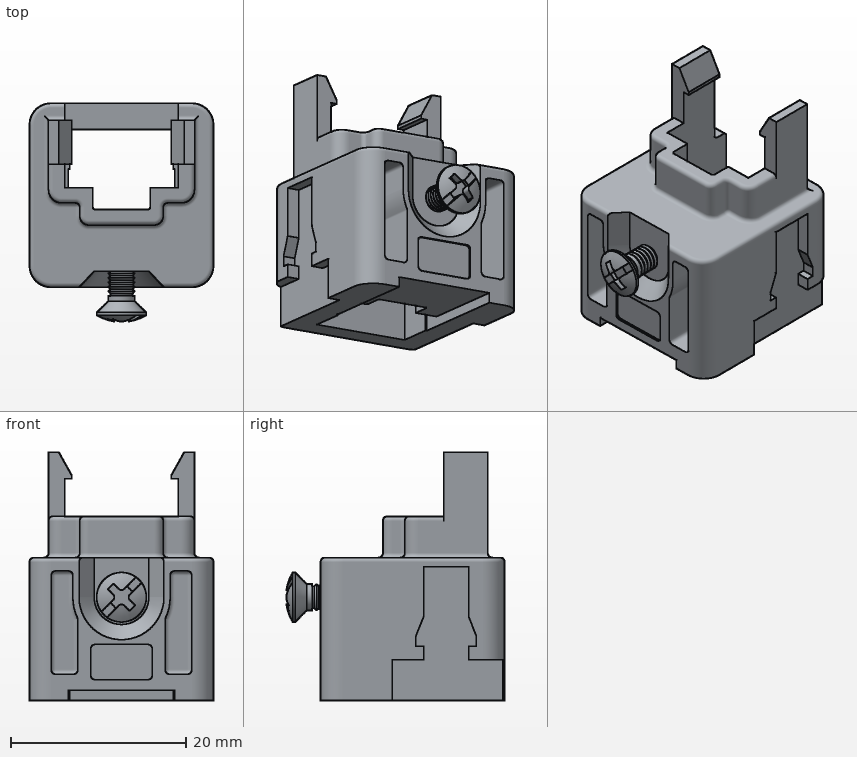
import cadquery as cq
import math


body_side = 21.0
body_height = 16.3
body_corner = 2.5
edge_round = 0.5
half_side = body_side / 2
front_y = -half_side
rear_y = half_side

select_margin = 0.03

collar_top = 21.0
collar_half_width = 8.32
collar_rear_y = 8.57
collar_shoulder_y = -0.88
collar_corner = 1.5
nose_half_width = 4.75
nose_front_y = -3.4
nose_corner = 1.02
nose_inner_corner = 0.5

arm_inner_x = 6.45
arm_front_y = 3.55
arm_top = 28.3
arm_tip_x = 7.13
hook_x = 5.65
hook_top = 25.67
hook_bottom = 25.27

cavity_half_width = arm_inner_x
cavity_front_y = 0.88
nose_cavity_half_width = 3.25
nose_cavity_front_y = -1.6
nose_cavity_corner = 0.25
frame_height = 4.67
frame_rear_y = 7.47
frame_half_width = 5.9
frame_wide_half_width = 6.05
frame_step_y = 2.97
bottom_notch_height = 1.15

clip_depth = 1.5
clip_center_y = 3.82
clip_half_width = 2.58
clip_top = 15.23
clip_taper_top = 9.55
clip_wide_half_width = 3.45
clip_wide_top = 7.33
clip_wide_bottom = 6.17
base_pocket_front_y = -2.32

screw_z = 11.77
seat_radius = 4.85
seat_floor_radius = 3.1
seat_depth = 1.85
seat_floor_y = front_y + seat_depth

window_outer_x = 8.0
window_inner_x = 4.98
window_top = 14.77
window_bottom = 3.0
window_depth = 5.65
window_boss_radius = seat_radius + 0.7

label_width = 7.02
label_height = 4.02
label_center_z = 4.4
label_corner = 0.5
label_depth = 0.25

thread_root_radius = 1.27
thread_crest_radius = 1.5
thread_pitch = 0.5
thread_turns = 5
screw_embed = 0.57
shank_start_y = -11.45
shank_radius = 1.53
cone_start_y = -12.08
head_radius = 2.83
head_protrusion = 3.95
rim_start_y = -13.35
rim_end_y = -13.67
head_tip_y = front_y - head_protrusion
drive_angle = -45.0
slot_width = 0.9
slot_floor_y = rim_end_y
cross_arm_length = 1.75
cross_short_arm_length = 1.33
cross_corner = 0.42
cross_floor_y = -13.15


def span_box(x_range, y_range, z_range):
    """Box between the given pairs of limits."""
    sizes = [high - low for low, high in (x_range, y_range, z_range)]
    return (
        cq.Workplane("XY")
        .box(*sizes, centered=False)
        .translate((x_range[0], y_range[0], z_range[0]))
    )


def centered_box(half_width, y_range, z_range):
    """Box centred on X = 0."""
    return span_box((-half_width, half_width), y_range, z_range)


def with_mirror(shape):
    """The shape joined with its mirror image across X = 0."""
    return shape.union(shape.mirror("YZ"))


def make_body():
    return (
        cq.Workplane("XY")
        .rect(body_side, body_side)
        .extrude(body_height)
        .edges("|Z")
        .fillet(body_corner)
        .faces(">Z")
        .edges()
        .fillet(edge_round)
    )


def make_collar():
    """Solid stepped collar with rounded upright corners."""
    wide = centered_box(
        collar_half_width, (collar_shoulder_y, collar_rear_y), (body_height, collar_top)
    )
    nose = centered_box(
        nose_half_width, (nose_front_y, collar_shoulder_y), (body_height, collar_top)
    )
    collar = wide.union(nose)
    corners = [
        (nose_half_width, nose_front_y, nose_corner),
        (nose_half_width, collar_shoulder_y, nose_inner_corner),
        (collar_half_width, collar_shoulder_y, collar_corner),
    ]
    for half_width, y, radius in corners:
        pair = cq.selectors.BoxSelector(
            (-half_width - select_margin, y - select_margin, body_height),
            (half_width + select_margin, y + select_margin, collar_top),
        )
        collar = collar.edges("|Z").edges(pair).fillet(radius)
    return collar


def make_arm():
    """Clip arm on the +X side with its hook pointing inward."""
    return (
        cq.Workplane("XZ", origin=(0, arm_front_y, 0))
        .moveTo(collar_half_width, body_height)
        .lineTo(collar_half_width, arm_top)
        .lineTo(arm_tip_x, arm_top)
        .lineTo(hook_x, hook_top)
        .lineTo(hook_x, hook_bottom)
        .lineTo(arm_inner_x, hook_bottom)
        .lineTo(arm_inner_x, body_height)
        .close()
        .extrude(arm_front_y - collar_rear_y)
    )


def make_cavity():
    above_frame = (frame_height, collar_top)
    cavity = centered_box(cavity_half_width, (cavity_front_y, rear_y), above_frame)
    nose = centered_box(
        nose_cavity_half_width, (nose_cavity_front_y, cavity_front_y), (0, collar_top)
    )
    nose = nose.edges("|Z and <Y").fillet(nose_cavity_corner)
    frame_rear = centered_box(frame_half_width, (frame_step_y, frame_rear_y), (0, frame_height))
    frame_front = centered_box(
        frame_wide_half_width, (cavity_front_y, frame_step_y), (0, frame_height)
    )
    notch = centered_box(
        frame_wide_half_width, (front_y, cavity_front_y), (0, bottom_notch_height)
    )
    return cavity.union(nose).union(frame_rear).union(frame_front).union(notch)


def make_clip_pocket():
    """Arrow-shaped clip pocket above an open base pocket, in the -X side."""
    half_outline = [
        (clip_half_width, frame_height),
        (clip_half_width, clip_wide_bottom),
        (clip_wide_half_width, clip_wide_bottom),
        (clip_wide_half_width, clip_wide_top),
        (clip_half_width, clip_taper_top),
        (clip_half_width, clip_top),
    ]
    outline = half_outline + [(-y, z) for y, z in reversed(half_outline)]
    clip = (
        cq.Workplane("YZ", origin=(-half_side, clip_center_y, 0))
        .polyline(outline)
        .close()
        .extrude(clip_depth)
    )
    base = span_box(
        (-half_side, -half_side + clip_depth), (base_pocket_front_y, rear_y), (0, frame_height)
    )
    return clip.union(base)


def make_window():
    """Front pocket on the +X side, bulged inward to clear the screw seat."""
    arc_drop = math.sqrt(window_boss_radius**2 - window_inner_x**2)
    mid_angle = math.atan2(arc_drop, window_inner_x) / 2
    arc_middle = (
        window_boss_radius * math.cos(mid_angle),
        screw_z - window_boss_radius * math.sin(mid_angle),
    )
    return (
        cq.Workplane("XZ", origin=(0, front_y, 0))
        .moveTo(window_outer_x, window_bottom)
        .lineTo(window_outer_x, window_top)
        .lineTo(window_boss_radius, window_top)
        .lineTo(window_boss_radius, screw_z)
        .threePointArc(arc_middle, (window_inner_x, screw_z - arc_drop))
        .lineTo(window_inner_x, window_bottom)
        .close()
        .extrude(-window_depth)
        .edges("|Y or >Y")
        .fillet(edge_round)
    )


def make_screw_seat():
    """Tapered U-shaped seat, open at the top."""
    cone = cq.Workplane(
        cq.Solid.makeCone(
            seat_radius,
            seat_floor_radius,
            seat_depth,
            pnt=cq.Vector(0, front_y, screw_z),
            dir=cq.Vector(0, 1, 0),
        )
    )
    throat = (
        cq.Workplane("XY", origin=(0, 0, screw_z))
        .moveTo(-seat_radius, front_y)
        .lineTo(seat_radius, front_y)
        .lineTo(seat_floor_radius, seat_floor_y)
        .lineTo(-seat_floor_radius, seat_floor_y)
        .close()
        .extrude(body_height - screw_z)
    )
    return cone.union(throat)


def make_label_panel():
    return (
        cq.Workplane("XZ", origin=(0, front_y, label_center_z))
        .rect(label_width, label_height)
        .extrude(-label_depth)
        .edges("|Y")
        .fillet(label_corner)
    )


def make_screw():
    """Screw revolved about its axis along Y, with a diagonal slot and a deeper cross in its head."""
    profile = cq.Workplane("XY").moveTo(0, seat_floor_y + screw_embed)
    profile = profile.lineTo(thread_root_radius, seat_floor_y + screw_embed)
    profile = profile.lineTo(thread_root_radius, seat_floor_y)
    for turn in range(thread_turns):
        ring_start = seat_floor_y - turn * thread_pitch
        profile = profile.lineTo(thread_crest_radius, ring_start - thread_pitch / 2)
        profile = profile.lineTo(thread_root_radius, ring_start - thread_pitch)
    dome_height = rim_end_y - head_tip_y
    dome_radius = (head_radius**2 + dome_height**2) / (2 * dome_height)
    half_angle = math.asin(head_radius / dome_radius) / 2
    dome_middle = (
        dome_radius * math.sin(half_angle),
        head_tip_y + dome_radius * (1 - math.cos(half_angle)),
    )
    screw = (
        profile.lineTo(thread_root_radius, shank_start_y)
        .lineTo(shank_radius, shank_start_y)
        .lineTo(shank_radius, cone_start_y)
        .lineTo(head_radius, rim_start_y)
        .lineTo(head_radius, rim_end_y)
        .threePointArc(dome_middle, (0, head_tip_y))
        .close()
        .revolve(360, (0, 0, 0), (0, 1, 0))
    )
    slot = centered_box(
        head_radius, (head_tip_y, slot_floor_y), (-slot_width / 2, slot_width / 2)
    )
    cross_y = (head_tip_y, cross_floor_y)
    arm_span = (-slot_width / 2, slot_width / 2)
    cross = centered_box(cross_short_arm_length, cross_y, arm_span).union(
        centered_box(slot_width / 2, cross_y, (-cross_arm_length, cross_arm_length))
    )
    inner_corners = cq.selectors.BoxSelector(
        (-slot_width, head_tip_y, -slot_width), (slot_width, cross_floor_y, slot_width)
    )
    cross = cross.edges("|Y").edges(inner_corners).fillet(cross_corner)
    drive = slot.union(cross).rotate((0, 0, 0), (0, 1, 0), drive_angle)
    return screw.cut(drive).translate((0, 0, screw_z))


part = make_body().union(make_collar())

collar_foot = cq.selectors.BoxSelector(
    (-collar_half_width - select_margin, nose_front_y - select_margin, body_height - select_margin),
    (collar_half_width + select_margin, collar_rear_y + select_margin, body_height + select_margin),
)
part = part.edges(collar_foot).fillet(edge_round)
part = part.faces(">Z").edges().fillet(edge_round)

part = part.union(with_mirror(make_arm()))

part = part.cut(make_cavity())
part = part.cut(with_mirror(make_clip_pocket()))
part = part.cut(with_mirror(make_window()))
part = part.cut(make_screw_seat())
part = part.cut(make_label_panel())

result = part.union(make_screw())